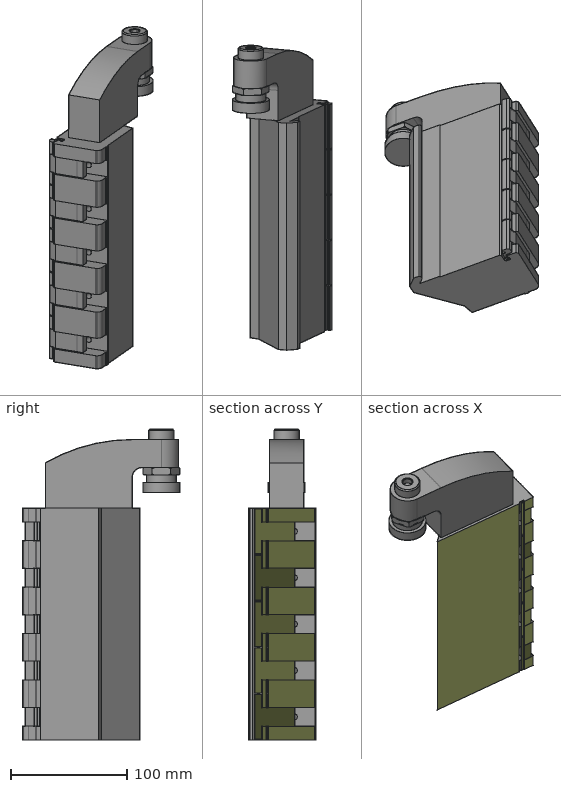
import cadquery as cq
import math


housing_height = 200.0
outer_face_x = 24.5
rib_x = 25.2
wall_x = -24.0
pad_x = -25.0
front_y = -119.5
groove_top_y = -105.0
rib_start_y = -104.3
rib_end_y = -108.0

clip_count = 5
pitch = housing_height / clip_count
slot_height = 16.0
slot_length = 80.5
clip_gap = 1.0
clip_height = pitch - clip_gap
finger_tip_x = 7.2
finger_y = -117.0
finger_back_y = -110.0
tip_rise = 0.3

pin_hole_diameter = 5.0
pin_hole_depth = 8.0
pin_hole_x = 6.7

arm_width = 29.7
arm_top = housing_height + 59.2
arm_underside = housing_height + 34.8
arm_back_y = -25.0
arm_front_y = -100.0
arm_curve_radius = 150.0
arm_fillet_radius = 8.0

head_diameter = 22.0
head_height = 268.0 - arm_top
head_chamfer = 1.0
shank_diameter = 12.0
socket_diameter = 8.0
socket_mouth_diameter = 9.5
socket_depth = 5.4

nut_corner_diameter = 32.0
nut_height = 6.2
nut_bevel = 0.8
collar_diameter = 26.0
collar_height = 6.5
foot_diameter = 32.0
foot_height = 8.8

nut_bottom = arm_underside - nut_height
collar_bottom = nut_bottom - collar_height
foot_bottom = collar_bottom - foot_height
shank_bottom = collar_bottom


def slot_centre(index):
    """Height of the middle of slot number `index`, counted from the bottom."""
    return (index + 0.5) * pitch


def make_housing_profile():
    return (
        cq.Workplane("XY")
        .moveTo(21.0, front_y)
        .lineTo(22.0, -119.0)
        .threePointArc((23.5, -117.0), (outer_face_x, -114.7))
        .lineTo(outer_face_x, rib_end_y)
        .lineTo(rib_x, rib_end_y)
        .lineTo(rib_x, rib_start_y)
        .lineTo(outer_face_x, rib_start_y)
        .lineTo(outer_face_x, -54.1)
        .lineTo(15.0, -51.5)
        .lineTo(-18.0, -18.5)
        .lineTo(-25.7, -18.5)
        .lineTo(-32.7, -25.7)
        .lineTo(-32.7, -30.8)
        .lineTo(-31.4, -32.2)
        .lineTo(-29.2, -32.2)
        .lineTo(pad_x, -28.0)
        .lineTo(pad_x, -47.0)
        .lineTo(wall_x, -47.0)
        .lineTo(wall_x, -103.5)
        .lineTo(-23.3, groove_top_y)
        .lineTo(-17.0, groove_top_y)
        .lineTo(-15.8, -106.0)
        .lineTo(-15.8, -110.1)
        .lineTo(-17.5, -110.1)
        .lineTo(-18.5, -108.8)
        .lineTo(-19.8, -108.8)
        .lineTo(-21.0, -110.0)
        .lineTo(-21.0, -117.7)
        .lineTo(-19.0, front_y)
        .close()
    )


def make_housing():
    body = make_housing_profile().extrude(housing_height)
    slot_depth = groove_top_y - front_y
    for index in range(clip_count):
        slot = (
            cq.Workplane("XY")
            .box(slot_length, slot_depth, slot_height)
            .translate((0, (groove_top_y + front_y) / 2, slot_centre(index)))
        )
        hole = (
            cq.Workplane("XZ", origin=(pin_hole_x, groove_top_y, slot_centre(index)))
            .circle(pin_hole_diameter / 2)
            .extrude(-pin_hole_depth)
        )
        body = body.cut(slot).cut(hole)
    return body


def make_clip(index):
    """Snap strip held in the groove, with a finger that fills the width of one slot."""
    strip = (
        cq.Workplane("XY", origin=(0, 0, slot_centre(index) - clip_height / 2))
        .moveTo(-27.5, -107.5)
        .lineTo(-26.5, -107.5)
        .lineTo(-24.7, -109.0)
        .lineTo(-23.9, -109.0)
        .lineTo(-23.9, -106.5)
        .lineTo(-17.7, -106.5)
        .lineTo(-16.5, -107.2)
        .lineTo(-16.5, -109.3)
        .lineTo(-17.5, -109.3)
        .lineTo(-18.5, -108.0)
        .lineTo(-20.5, -108.0)
        .lineTo(-21.5, -109.0)
        .lineTo(-21.5, -111.5)
        .lineTo(-22.5, -114.5)
        .lineTo(-23.0, -115.0)
        .threePointArc((-24.7, -114.7), (-26.3, -114.2))
        .lineTo(-27.5, -111.8)
        .close()
        .extrude(clip_height)
    )
    finger = (
        cq.Workplane("XY", origin=(0, 0, slot_centre(index) - slot_height / 2))
        .moveTo(-22.5, finger_back_y)
        .lineTo(finger_tip_x, finger_back_y)
        .lineTo(finger_tip_x, finger_y - tip_rise)
        .lineTo(1.3, finger_y)
        .lineTo(-19.3, finger_y)
        .lineTo(-26.0, -114.5)
        .close()
        .extrude(slot_height)
    )
    return strip.union(finger)


def make_arm():
    run = arm_back_y - arm_front_y
    arc_end_z = arm_top - arm_curve_radius + math.sqrt(arm_curve_radius**2 - run**2)
    half_angle = math.asin(run / arm_curve_radius) / 2
    arc_mid = (
        arm_back_y - arm_curve_radius * math.sin(half_angle),
        arm_top - arm_curve_radius * (1 - math.cos(half_angle)),
    )
    arm = (
        cq.Workplane("YZ", origin=(-arm_width / 2, 0, 0))
        .moveTo(0, arm_top)
        .lineTo(arm_back_y, arm_top)
        .threePointArc(arc_mid, (arm_front_y, arc_end_z))
        .lineTo(arm_front_y, housing_height)
        .lineTo(arm_back_y, housing_height)
        .lineTo(arm_back_y, arm_underside - arm_fillet_radius)
        .radiusArc((arm_back_y + arm_fillet_radius, arm_underside), arm_fillet_radius)
        .lineTo(0, arm_underside)
        .close()
        .extrude(arm_width)
    )
    rounded_tip = (
        cq.Workplane("XY", origin=(0, 0, arm_underside))
        .circle(arm_width / 2)
        .extrude(arm_top - arm_underside)
    )
    return arm.union(rounded_tip).cut(make_shank())


def make_shank():
    return (
        cq.Workplane("XY", origin=(0, 0, shank_bottom))
        .circle(shank_diameter / 2)
        .extrude(arm_top - shank_bottom)
    )


def make_screw():
    head = (
        cq.Workplane("XY", origin=(0, 0, arm_top))
        .circle(head_diameter / 2)
        .extrude(head_height)
        .faces(">Z")
        .chamfer(head_chamfer)
    )
    head_top = arm_top + head_height
    mouth_depth = (socket_mouth_diameter - socket_diameter) / 2
    socket_floor = head_top - socket_depth
    socket = (
        cq.Workplane("XZ")
        .moveTo(0, head_top)
        .lineTo(socket_mouth_diameter / 2, head_top)
        .lineTo(socket_diameter / 2, head_top - mouth_depth)
        .lineTo(socket_diameter / 2, socket_floor)
        .lineTo(0, socket_floor - socket_diameter / 4)
        .close()
        .revolve(360, (0, 0, 0), (0, 1, 0))
    )
    return head.union(make_shank()).cut(socket)


def make_nut():
    nut = (
        cq.Workplane("XY", origin=(0, 0, nut_bottom))
        .transformed(rotate=(0, 0, 90))
        .polygon(6, nut_corner_diameter)
        .extrude(nut_height)
    )
    bevelled_disc = (
        cq.Workplane("XY", origin=(0, 0, nut_bottom))
        .circle(nut_corner_diameter / 2)
        .extrude(nut_height)
        .faces("<Z or >Z")
        .chamfer(nut_bevel)
    )
    return nut.intersect(bevelled_disc).cut(make_shank())


def make_foot():
    foot = (
        cq.Workplane("XY", origin=(0, 0, foot_bottom))
        .circle(foot_diameter / 2)
        .extrude(foot_height)
        .faces(">Z")
        .workplane()
        .circle(collar_diameter / 2)
        .extrude(collar_height)
    )
    return foot.cut(make_shank())


housing = make_housing()
clips = [make_clip(index) for index in range(clip_count)]
arm = make_arm()
screw = make_screw()
nut = make_nut()
foot = make_foot()

result = cq.Compound.makeCompound(
    [housing.val(), arm.val(), screw.val(), nut.val(), foot.val()]
    + [clip.val() for clip in clips]
)